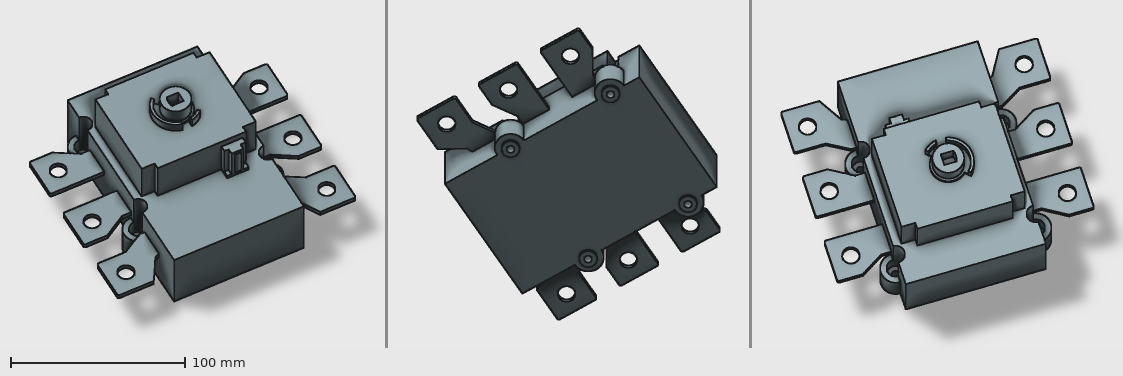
import cadquery as cq
import math

base_length = 131.2
base_width = 84.1
base_height = 38.7

cover_x = -12.5
cover_length = 64.7
cover_width = 73.9
cover_height = 25.7
cover_notch_x = 3.8
cover_notch_y = 8.3
cover_top = base_height + cover_height

boss_spacing_x = 67.5
boss_diameter = 18.0
boss_height = 17.4
foot_diameter = 10.3
foot_height = 1.8
screw_diameter = 4.5
recess_diameter = 10.5
recess_floor = 7.7

overall_width = 154.0
tab_pitch = 41.7
middle_tab_x = 8.3
tab_width = 26.2
tab_thickness = 3.0
tab_bottom = 20.6
tab_end = overall_width / 2
tab_embedment = 3.1
tab_root = base_width / 2 - tab_embedment
tab_hole_diameter = 10.0
tab_hole_y = 65.0
tab_corner_radius = 1.2
neck_step = 8.5
neck_bend_inner = 48.0
neck_bend_outer = 61.9

offset_neck_left = 20.8
offset_neck_right = 3.1
offset_bend_inner = 45.3
offset_bend_left = 58.2
offset_bend_right = 53.9
offset_shoulder = 1.5

shaft_diameter = 18.2
shaft_height = 10.8
disc_radius = 10.6
floor_height = 1.5
guard_radius = 14.8
guard_wall = 1.8
guard_height = 5.7
guard_start_angle = 225
guard_sweep = 180
guard_gap = 6.0
gap_ridge_width = 2.2
gap_ridge_height = 0.5
socket_width = 7.0
socket_side = 7.4
socket_bulge = 0.8
socket_depth = 9.2

latch_y = 19.5
latch_length = 7.2
latch_width = 13.9
latch_height = 21.3
latch_notch_length = 3.5
latch_notch_widths = {1: 3.4, -1: 2.8}
latch_notch_floor = 2.2
button_width = 4.2
button_bulge = 0.5
button_height = 17.1


def block(length, width, height, x, y, z):
    """Box centred on x and y, standing on z."""
    return cq.Workplane("XY").box(length, width, height, (True, True, False)).translate((x, y, z))


def cylinder(diameter, bottom, top, x, y):
    """Upright cylinder between two heights."""
    return cq.Workplane("XY", origin=(x, y, bottom)).circle(diameter / 2).extrude(top - bottom)


def make_cover():
    """Two crossed blocks that leave the corners notched."""
    inner_length = cover_length - 2 * cover_notch_x
    inner_width = cover_width - 2 * cover_notch_y
    wide = block(cover_length, inner_width, cover_height, cover_x, 0, base_height)
    deep = block(inner_length, cover_width, cover_height, cover_x, 0, base_height)
    return wide.union(deep)


def add_mounting(body):
    """Add the bosses and feet, then open the screw recesses and holes."""
    centres = [
        (cover_x + side_x * boss_spacing_x / 2, side_y * base_width / 2)
        for side_x in (-1, 1)
        for side_y in (-1, 1)
    ]
    for x, y in centres:
        body = body.union(cylinder(boss_diameter, 0, boss_height, x, y))
        body = body.union(cylinder(foot_diameter, -foot_height, recess_floor, x, y))
    for x, y in centres:
        body = body.cut(cylinder(recess_diameter, recess_floor, base_height, x, y))
        body = body.cut(cylinder(screw_diameter, -foot_height, recess_floor, x, y))
    return body


def finish_tab(outline):
    """Extrude a tab outline, round its outer corners and drill its hole."""
    tab = cq.Workplane("XY", origin=(0, 0, tab_bottom)).polyline(outline).close().extrude(tab_thickness)
    tab = tab.faces(">Y").edges("|Z").fillet(tab_corner_radius)
    return tab.cut(cylinder(tab_hole_diameter, tab_bottom, tab_bottom + tab_thickness, 0, tab_hole_y))


def stepped_tab():
    """Tab on the +Y side with its neck narrowed on the -X edge."""
    half = tab_width / 2
    return finish_tab([
        (half, tab_root),
        (half, tab_end),
        (-half, tab_end),
        (-half, neck_bend_outer),
        (neck_step - half, neck_bend_inner),
        (neck_step - half, tab_root),
    ])


def offset_tab():
    """Tab on the +Y side with its neck shifted towards -X."""
    half = tab_width / 2
    return finish_tab([
        (-offset_neck_right, tab_root),
        (-offset_neck_right, base_width / 2),
        (offset_shoulder - offset_neck_right, offset_bend_inner),
        (half, offset_bend_right),
        (half, tab_end),
        (-half, tab_end),
        (-half, offset_bend_left),
        (-offset_neck_left, offset_bend_inner),
        (-offset_neck_left, tab_root),
    ])


def add_tabs(body):
    tabs = [
        stepped_tab().translate((middle_tab_x - tab_pitch, 0, 0)),
        stepped_tab().mirror("YZ").translate((middle_tab_x, 0, 0)),
        offset_tab().translate((middle_tab_x + tab_pitch, 0, 0)),
    ]
    for tab in tabs:
        body = body.union(tab).union(tab.mirror("XZ"))
    return body


def guard_sector(radius, height):
    """Pie-shaped slab over the guard's angular range, centred on the Z axis."""
    def rim(angle):
        return (radius * math.cos(math.radians(angle)), radius * math.sin(math.radians(angle)))

    return (
        cq.Workplane("XY")
        .moveTo(0, 0)
        .lineTo(*rim(guard_start_angle))
        .threePointArc(rim(guard_start_angle + guard_sweep / 2), rim(guard_start_angle + guard_sweep))
        .close()
        .extrude(height)
    )


def gap_strip(width):
    """Slab along +X from the drive axis, as tall as the guard."""
    return block(guard_radius, width, guard_height, guard_radius / 2, 0, 0)


def make_drive():
    """Shaft, disc and split guard with low ridges beside its gap, standing on Z = 0."""
    inner_radius = guard_radius - guard_wall
    inside = guard_sector(inner_radius, guard_height)
    guard = guard_sector(guard_radius, guard_height).cut(inside)
    ridge_top = floor_height + gap_ridge_height
    ridges = (
        guard_sector(inner_radius, ridge_top)
        .intersect(gap_strip(guard_gap + 2 * gap_ridge_width))
        .cut(cylinder(2 * disc_radius, 0, ridge_top, 0, 0))
    )
    guard = guard.union(ridges)
    guard = guard.union(guard_sector(guard_radius, floor_height)).cut(gap_strip(guard_gap))

    disc = cylinder(2 * disc_radius, 0, floor_height, 0, 0)
    shaft = cylinder(shaft_diameter, 0, shaft_height, 0, 0)
    socket_half = socket_width / 2
    socket = (
        cq.Workplane("XY", origin=(0, 0, shaft_height))
        .moveTo(-socket_half, socket_half)
        .lineTo(-socket_half, socket_half - socket_side)
        .threePointArc(
            (0, socket_half - socket_side - socket_bulge),
            (socket_half, socket_half - socket_side),
        )
        .lineTo(socket_half, socket_half)
        .close()
        .extrude(-socket_depth)
    )
    return guard.union(disc).union(shaft).cut(socket)


def make_latch():
    """Latch block with two open corner notches and a bulging button between them."""
    latch_start = cover_x + cover_length / 2
    latch_end = latch_start + latch_length
    latch_x = latch_start + latch_length / 2
    latch = block(latch_length, latch_width, latch_height, latch_x, latch_y, base_height)
    for side, notch_width in latch_notch_widths.items():
        notch = block(
            latch_notch_length,
            notch_width,
            latch_height - latch_notch_floor,
            latch_end - latch_notch_length / 2,
            latch_y + side * (latch_width - notch_width) / 2,
            base_height + latch_notch_floor,
        )
        latch = latch.cut(notch)
    button = (
        cq.Workplane("XY", origin=(latch_end, latch_y, base_height + latch_notch_floor))
        .moveTo(0, -button_width / 2)
        .threePointArc((button_bulge, 0), (0, button_width / 2))
        .close()
        .extrude(button_height)
    )
    return latch.union(button)


body = block(base_length, base_width, base_height, 0, 0, 0)
body = add_mounting(body)
body = add_tabs(body)
body = body.union(make_cover())
body = body.union(make_latch())
result = body.union(make_drive().translate((cover_x, 0, cover_top)))